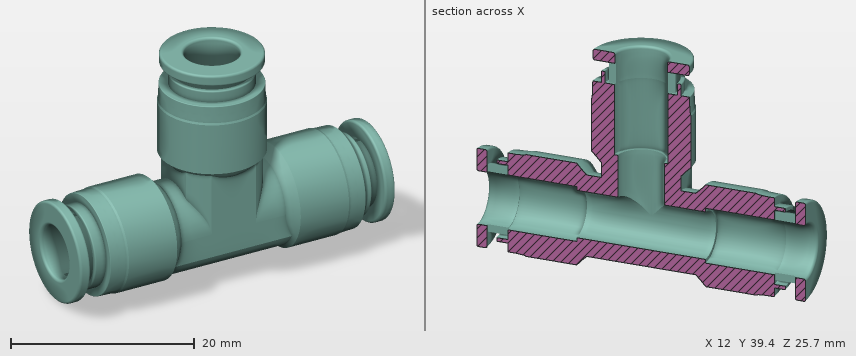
import cadquery as cq

arm_length = 19.7

flange_radius = 5.8
flange_depth = 1.3
collar_depth = 3.75
flange_edge_round = 0.28
collar_radius = 3.98
collar_bore_radius = 3.1
mouth_round = 0.3
slit_width = 0.55

sleeve_radius = 4.8
sleeve_depth = 2.4
sleeve_edge_round = 0.15
sleeve_bore_radius = 4.35
cap_depth = collar_depth
cap_outer_radius = 5.85
cap_inner_radius = 5.9
cap_taper_end = 5.7
cap_edge_round = 0.08
body_depth = 5.95
body_diameter = 12.0
body_radius = body_diameter / 2
body_end_depth = 11.98
neck_radius = sleeve_radius
neck_depth = body_end_depth + body_radius - neck_radius

block_half_width = neck_radius
block_corner_radius = 5.55
passage_radius = 2.75
seat_radius = 3.2
seat_depth = body_end_depth


def make_arm():
    """Solid outside of one arm, from the tee centre up to z = arm_length."""
    profile = [
        (0, 0),
        (neck_radius, 0),
        (neck_radius, arm_length - neck_depth),
        (body_radius, arm_length - body_end_depth),
        (body_radius, arm_length - body_depth),
        (cap_inner_radius, arm_length - cap_taper_end),
        (cap_outer_radius, arm_length - cap_depth),
        (0, arm_length - cap_depth),
    ]
    body = cq.Workplane("XZ").polyline(profile).close().revolve(360, (0, 0), (0, 1))
    body = body.faces(">Z").edges().fillet(cap_edge_round)
    sleeve = disc(sleeve_radius, sleeve_depth, cap_depth).faces(">Z").edges().fillet(sleeve_edge_round)
    sleeve = sleeve.cut(disc(sleeve_bore_radius, sleeve_depth, cap_depth))
    collar = disc(collar_radius, flange_depth, collar_depth)
    flange = disc(flange_radius, 0, flange_depth).edges().fillet(flange_edge_round)
    return body.union(sleeve).union(collar).union(flange)


def disc(radius, start_depth, end_depth):
    """Cylinder between two depths of the upright arm."""
    base = cq.Workplane("XY").workplane(offset=arm_length - end_depth)
    return base.circle(radius).extrude(end_depth - start_depth)


def make_arm_cavity():
    """Passage, tube seat, collar bore with rounded mouth, and the slit across the collar."""
    passage = disc(passage_radius, 0, arm_length)
    seat = disc(seat_radius, collar_depth, seat_depth)
    bore = (
        cq.Workplane("XZ")
        .moveTo(0, arm_length - collar_depth)
        .lineTo(collar_bore_radius, arm_length - collar_depth)
        .lineTo(collar_bore_radius, arm_length - mouth_round)
        .radiusArc((collar_bore_radius + mouth_round, arm_length), mouth_round)
        .lineTo(0, arm_length)
        .close()
        .revolve(360, (0, 0), (0, 1))
    )
    slit_block = (
        cq.Workplane("XY")
        .workplane(offset=arm_length - collar_depth)
        .rect(slit_width, 2 * collar_radius)
        .extrude(collar_depth - flange_depth)
    )
    slit = slit_block.intersect(disc(collar_radius, flange_depth, collar_depth))
    return passage.union(seat).union(bore).union(slit)


def make_block_bar(plane):
    """Square bar with its corners turned down to a larger circle, extruded from the centre."""
    bar_length = arm_length - body_end_depth
    square = cq.Workplane(plane).rect(2 * block_half_width, 2 * block_half_width).extrude(bar_length)
    round_bar = cq.Workplane(plane).circle(block_corner_radius).extrude(bar_length)
    return square.intersect(round_bar)


def make_block():
    """Upright stem bar above the lower half of a bar along the run."""
    stem = make_block_bar("XY")
    half_run = make_block_bar("XZ")
    run = half_run.union(half_run.mirror("XZ"))
    lower_half = cq.Workplane("XY").box(
        2 * body_radius, 2 * arm_length, body_radius, centered=(True, True, False)
    ).translate((0, 0, -body_radius))
    return stem.union(run.intersect(lower_half))


def place_arms(upright):
    """Copies of an upright arm shape pointing along +Z, +Y and -Y."""
    return [upright.rotate((0, 0, 0), (1, 0, 0), angle) for angle in (0, 90, -90)]


result = make_block()
for arm in place_arms(make_arm()):
    result = result.union(arm)
for cavity in place_arms(make_arm_cavity()):
    result = result.cut(cavity)